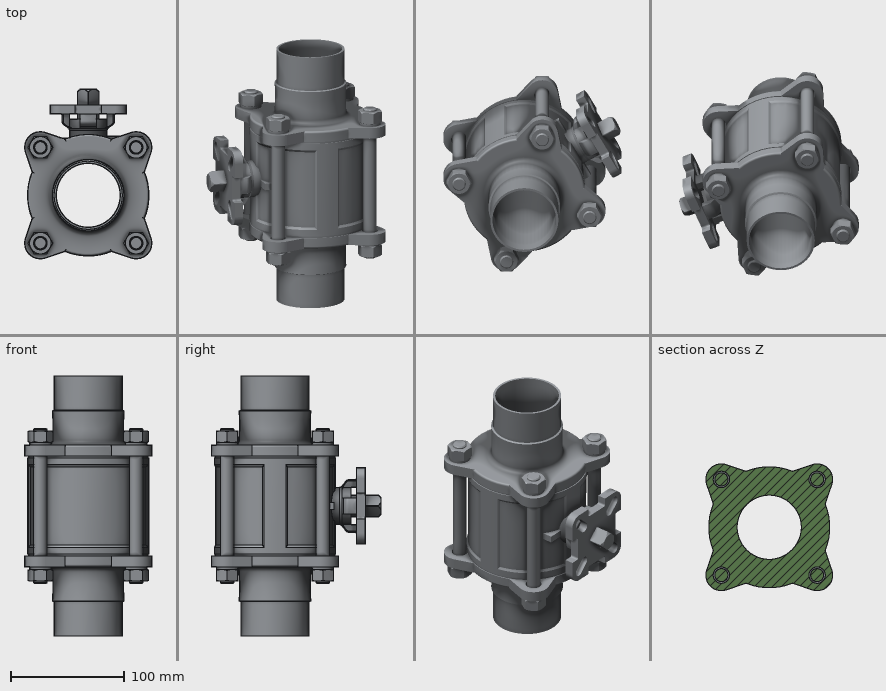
import cadquery as cq
import math


total_length = 230.0
bore_diameter = 56.4
pipe_diameter = 60.3
neck_end_radius = 31.7
neck_waist_radius = 31.3
neck_end_z = 84.0
neck_shoulder_rise = 0.7
neck_fillet = 4.4

flange_diameter = 107.5
flange_inner_z = 44.2
flange_outer_z = 53.8
flange_edge_fillet = 1.8
flange_width = 112.5
ear_offset = 42.3
ear_radius = flange_width / 2 - ear_offset
ear_root_half_width = 20.5
stud_hole_diameter = 14.0

body_half_length = 42.5
seal_radius = 53.0
panel_radius = 52.5
panel_half_length = 36.5
panel_end_slope = 2.0
rib_half_width = 9.7
rib_side_slope = 1.4
rib_angles = (0, 90, 180)

stud_diameter = 12.0
stud_end_z = 68.5
stud_chamfer = 1.0
nut_across_flats = 19.0
nut_bottom_z = 56.1
nut_top_z = 66.5

boss_diameter = 33.0
boss_top_y = 67.5
boss_shoulder_y = 57.0
boss_shoulder_top_y = 59.0
boss_shoulder_radius = 17.2
lug_reach = 30.0
lug_height = 6.0
left_lug_top_y = 50.8
right_lug_top_y = 52.2
stem_square = 14.0
stem_diameter = 19.0
stem_end_y = 93.8
stem_chamfer = 2.3

plate_half_width = 33.8
plate_bottom_y = 72.0
plate_top_y = 79.8
plate_corner_radius = 9.2
notch_half_width = 11.5
notch_depth = 7.8
notch_fillet = 1.8
slot_width = 9.0
slot_inner_offset = 17.7
slot_outer_offset = plate_half_width - plate_corner_radius
leg_width = 14.5
leg_radius = 23.2
leg_inner_diameter = 36.0
leg_root_rise = 1.5
leg_bend_start_y = 65.3
leg_bend_end_y = 62.5
leg_bend_radius = 21.8
leg_plate_fillet = 1.4

flange_radius = flange_diameter / 2
flange_thickness = flange_outer_z - flange_inner_z
boss_radius = boss_diameter / 2
corner_signs = [(sx, sy) for sx in (-1, 1) for sy in (-1, 1)]
stud_points = [(sx * ear_offset, sy * ear_offset) for sx, sy in corner_signs]


def make_ear():
    """Ear on the +X +Y diagonal: a round tip joined by straight flanks to the flange rim."""
    root_x = math.sqrt(flange_radius**2 - ear_root_half_width**2)
    reach = math.hypot(root_x - ear_offset, ear_offset - ear_root_half_width)
    toward_root = math.atan2(ear_root_half_width - ear_offset, root_x - ear_offset)
    tangent_angle = toward_root + math.acos(ear_radius / reach)
    tangent_x = ear_offset + ear_radius * math.cos(tangent_angle)
    tangent_y = ear_offset + ear_radius * math.sin(tangent_angle)
    tip = ear_offset + ear_radius * math.sqrt(0.5)
    return (
        cq.Workplane("XY", origin=(0, 0, flange_inner_z))
        .lineTo(root_x, ear_root_half_width)
        .lineTo(tangent_x, tangent_y)
        .threePointArc((tip, tip), (tangent_y, tangent_x))
        .lineTo(ear_root_half_width, root_x)
        .close()
        .extrude(flange_thickness)
    )


def make_flange():
    """Upper flange: a disc with a rounded outer rim and four drilled ears."""
    flange = (
        cq.Workplane("XY", origin=(0, 0, flange_inner_z))
        .circle(flange_radius)
        .extrude(flange_thickness)
        .faces(">Z")
        .edges()
        .fillet(flange_edge_fillet)
    )
    ear = make_ear()
    for index in range(4):
        flange = flange.union(ear.rotate((0, 0, 0), (0, 0, 1), 90 * index))
    holes = (
        cq.Workplane("XY", origin=(0, 0, flange_inner_z))
        .pushPoints(stud_points)
        .circle(stud_hole_diameter / 2)
        .extrude(flange_thickness)
    )
    return flange.cut(holes)


def make_pipe_end():
    """Upper neck and pipe stub, turned about Z, with a fillet onto the flange."""
    fillet_top_z = flange_outer_z + neck_fillet
    fillet_inset = neck_fillet * (1 - math.sqrt(0.5))
    pipe_radius = pipe_diameter / 2
    return (
        cq.Workplane("XZ")
        .moveTo(0, flange_inner_z)
        .lineTo(neck_end_radius + neck_fillet, flange_inner_z)
        .lineTo(neck_end_radius + neck_fillet, flange_outer_z)
        .threePointArc(
            (neck_end_radius + fillet_inset, flange_outer_z + fillet_inset),
            (neck_end_radius, fillet_top_z),
        )
        .threePointArc(
            (neck_waist_radius, (fillet_top_z + neck_end_z) / 2),
            (neck_end_radius, neck_end_z),
        )
        .lineTo(pipe_radius, neck_end_z + neck_shoulder_rise)
        .lineTo(pipe_radius, total_length / 2)
        .lineTo(0, total_length / 2)
        .close()
        .revolve(360, (0, 0, 0), (0, 1, 0))
    )


def make_nuts():
    """Upper nuts: hexagons with a washer face below and bevelled top and bottom corners."""
    corner_radius = nut_across_flats / math.sqrt(3)
    face_radius = nut_across_flats / 2
    bevel = (corner_radius - face_radius) * math.tan(math.radians(30))
    hexagon = (
        cq.Workplane("XY", origin=(0, 0, nut_bottom_z))
        .polygon(6, 2 * corner_radius)
        .extrude(nut_top_z - nut_bottom_z)
    )
    envelope = (
        cq.Workplane("XZ")
        .moveTo(0, nut_bottom_z)
        .lineTo(face_radius, nut_bottom_z)
        .lineTo(corner_radius, nut_bottom_z + bevel)
        .lineTo(corner_radius, nut_top_z - bevel)
        .lineTo(face_radius, nut_top_z)
        .lineTo(0, nut_top_z)
        .close()
        .revolve(360, (0, 0, 0), (0, 1, 0))
    )
    washer_face = (
        cq.Workplane("XY", origin=(0, 0, flange_outer_z))
        .circle(face_radius)
        .extrude(nut_bottom_z - flange_outer_z)
    )
    nut = hexagon.intersect(envelope).union(washer_face)
    return [nut.translate((x, y, 0)) for x, y in stud_points]


def make_studs():
    """Four full-length studs with chamfered ends."""
    stud = (
        cq.Workplane("XY")
        .circle(stud_diameter / 2)
        .extrude(stud_end_z, both=True)
        .faces("<Z or >Z")
        .edges()
        .chamfer(stud_chamfer)
    )
    return [stud.translate((x, y, 0)) for x, y in stud_points]


def make_body():
    """Body cylinder with shallow recessed panels, leaving three ribs along Z."""
    seal = cq.Workplane("XY").circle(seal_radius).extrude(flange_inner_z, both=True)
    body = cq.Workplane("XY").circle(flange_radius).extrude(body_half_length, both=True)
    floor_half_length = panel_half_length - panel_end_slope
    panel = (
        cq.Workplane("XZ")
        .moveTo(flange_radius, -panel_half_length)
        .lineTo(panel_radius, -floor_half_length)
        .lineTo(panel_radius, floor_half_length)
        .lineTo(flange_radius, panel_half_length)
        .close()
        .revolve(360, (0, 0, 0), (0, 1, 0))
    )
    root_half_width = rib_half_width + rib_side_slope
    root_x = math.sqrt(panel_radius**2 - root_half_width**2)
    rim_x = math.sqrt(flange_radius**2 - rib_half_width**2)
    rib = (
        cq.Workplane("XY")
        .moveTo(0, -root_half_width)
        .lineTo(root_x, -root_half_width)
        .lineTo(rim_x, -rib_half_width)
        .threePointArc((flange_radius, 0), (rim_x, rib_half_width))
        .lineTo(root_x, root_half_width)
        .lineTo(0, root_half_width)
        .close()
        .extrude(panel_half_length, both=True)
    )
    for angle in rib_angles:
        panel = panel.cut(rib.rotate((0, 0, 0), (0, 0, 1), angle))
    return body.union(seal).cut(panel)


def make_boss():
    """Stem boss with a flared shoulder that carries the legs."""
    return (
        cq.Workplane("XY")
        .lineTo(boss_radius, 0)
        .lineTo(boss_radius, boss_shoulder_y)
        .lineTo(boss_shoulder_radius, boss_shoulder_top_y)
        .lineTo(boss_radius, boss_shoulder_top_y)
        .lineTo(boss_radius, boss_top_y)
        .lineTo(0, boss_top_y)
        .close()
        .revolve(360, (0, 0, 0), (0, 1, 0))
    )


def make_stop_lug(end_x, top_y):
    """Small lug beside the boss, from the body centre plane out to end_x."""
    return (
        cq.Workplane("XY")
        .rect(abs(end_x), top_y, centered=False)
        .extrude(lug_height / 2, both=True)
        .translate((min(end_x, 0), 0, 0))
    )


def make_stem():
    """Square stem turned 45 degrees, with rounded corners and a chamfered end."""
    rounding = (
        cq.Workplane("XZ")
        .circle(stem_diameter / 2)
        .extrude(-stem_end_y)
        .faces(">Y")
        .edges()
        .chamfer(stem_chamfer)
    )
    return (
        cq.Workplane("XZ")
        .rect(stem_square, stem_square)
        .extrude(-stem_end_y)
        .rotate((0, 0, 0), (0, 1, 0), 45)
        .intersect(rounding)
    )


def make_plate():
    """Square mounting plate with edge notches and diagonal bolt slots."""
    thickness = plate_top_y - plate_bottom_y
    base = cq.Workplane("XZ", origin=(0, plate_bottom_y, 0))
    plate = (
        base.rect(2 * plate_half_width, 2 * plate_half_width)
        .extrude(-thickness)
        .edges("|Y")
        .fillet(plate_corner_radius)
    )
    notch = (
        base.center(plate_half_width, 0)
        .rect(2 * notch_depth, 2 * notch_half_width)
        .extrude(-thickness)
        .edges("|Y and <X")
        .fillet(notch_fillet)
    )
    slot_length = (slot_outer_offset - slot_inner_offset) * math.sqrt(2) + slot_width
    slot_middle = (slot_outer_offset + slot_inner_offset) / math.sqrt(2)
    slot = (
        base.center(slot_middle, 0)
        .slot2D(slot_length, slot_width)
        .extrude(-thickness)
        .rotate((0, 0, 0), (0, 1, 0), 45)
    )
    cutter = notch.union(slot)
    for index in range(4):
        plate = plate.cut(cutter.rotate((0, 0, 0), (0, 1, 0), 90 * index))
    return plate


def make_legs():
    """Four legs from boss to plate: a turned bracket ring kept only where two crossing bars run."""
    inner_radius = leg_inner_diameter / 2
    ring = (
        cq.Workplane("XY")
        .moveTo(boss_radius, boss_shoulder_top_y)
        .lineTo(inner_radius, boss_shoulder_top_y + leg_root_rise)
        .lineTo(inner_radius, plate_bottom_y)
        .lineTo(leg_radius + leg_plate_fillet, plate_bottom_y)
        .radiusArc((leg_radius, plate_bottom_y - leg_plate_fillet), -leg_plate_fillet)
        .lineTo(leg_radius, leg_bend_start_y)
        .tangentArcPoint((leg_bend_radius, leg_bend_end_y), relative=False)
        .lineTo(boss_shoulder_radius, boss_shoulder_top_y)
        .close()
        .revolve(360, (0, 0, 0), (0, 1, 0))
    )
    bar = cq.Workplane("XZ").rect(2 * plate_half_width, leg_width).extrude(-plate_bottom_y)
    cross = bar.union(bar.rotate((0, 0, 0), (0, 1, 0), 90))
    return ring.intersect(cross)


upper_end = make_flange().union(make_pipe_end())
for nut in make_nuts():
    upper_end = upper_end.union(nut)

result = make_body().union(upper_end).union(upper_end.mirror("XY"))
for stud in make_studs():
    result = result.union(stud)

for feature in (
    make_boss(),
    make_stop_lug(-lug_reach, left_lug_top_y),
    make_stop_lug(lug_reach, right_lug_top_y),
    make_stem(),
    make_legs(),
    make_plate(),
):
    result = result.union(feature)

bore = cq.Workplane("XY").circle(bore_diameter / 2).extrude(total_length / 2, both=True)
result = result.cut(bore)